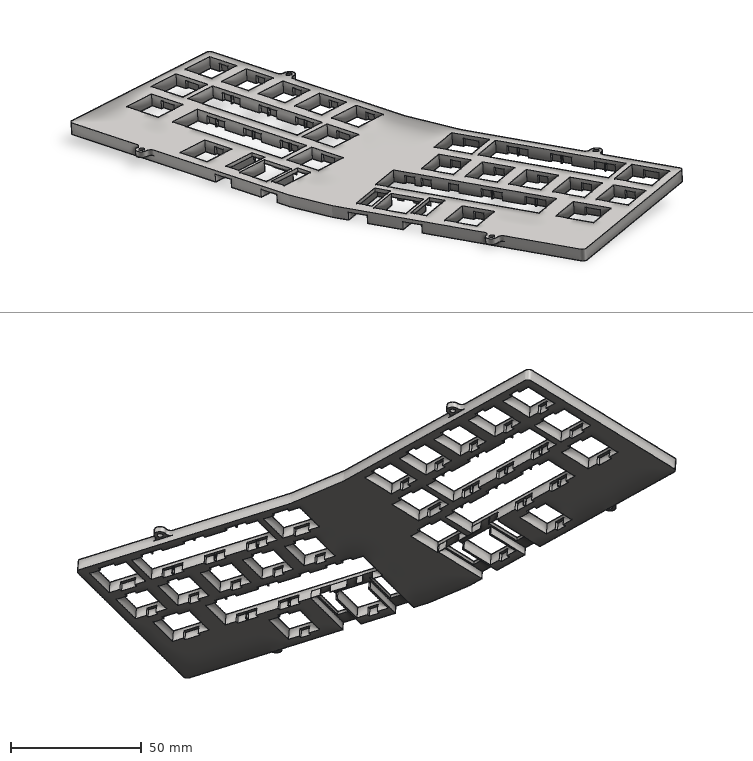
import cadquery as cq
import math

FIVE_KEY_SPAN = 76.2
KEY_PITCH = FIVE_KEY_SPAN / 4
SWITCH_SIZE = 14.0
LIP = 1.58
BODY_DEPTH = 3.5
THICKNESS = LIP + BODY_DEPTH
OVERALL_WIDTH = 242.6
SPLAY = 7.0
TILT = 7.0

COS = math.cos(math.radians(SPLAY))
SIN = math.sin(math.radians(SPLAY))

THUMB_KEY_U = 27.2
TOP_ROW_V = 21.0
ROW_V = [TOP_ROW_V - row * KEY_PITCH for row in range(4)]
THUMB_ROW = 3
LEFT = -1
RIGHT = 1

RIGHT_OPENINGS = [
    (0, [-0.25, -0.125]), (0, [0.75, 1, 1.75, 2, 2.75, 3]), (0, [3.875, 4]),
    (1, [0]), (1, [1]), (1, [2]), (1, [3]), (1, [4]),
    (2, [-0.5, -0.125, 0.5, 1.25, 1.5, 2.25, 2.5]), (2, [3.625, 3.75]),
    (3, [0]), (3, [1.625]),
]
LEFT_OPENINGS = [
    (0, [0.25]), (0, [1.25]), (0, [2.25]), (0, [3.25]), (0, [4.25]),
    (1, [0, 0.125]), (1, [1, 1.25, 2, 2.25, 3, 3.25]), (1, [4.125, 4.25]),
    (2, [-0.5, -0.375]), (2, [0.5, 0.75, 1.5, 1.75, 2.5, 2.75]), (2, [3.875, 4]),
    (3, [0]), (3, [1.625]),
]

RIGHT_LAST = max(max(positions) for row, positions in RIGHT_OPENINGS)
LEFT_LAST = max(max(positions) for row, positions in LEFT_OPENINGS)

NOTCH_WIDTH = 4.4
NOTCH_DEPTH = 1.2

SLOT_OFFSET = 12.0
SLOT_WIDTH = 6.8
SLOT_LENGTH = 14.8
SLOT_BACK = 9.0
RELIEF_WIDTH = 8.3
RELIEF_REACH = 3.0

CORNER_RADIUS = 1.7
BACK_MARGIN = 4.0
FRONT_MARGIN = 4.1
BACK_V = ROW_V[0] + SWITCH_SIZE / 2 + BACK_MARGIN
FRONT_V = ROW_V[THUMB_ROW] - SWITCH_SIZE / 2 - FRONT_MARGIN
RIGHT_KEYS_END = THUMB_KEY_U + RIGHT_LAST * KEY_PITCH + SWITCH_SIZE / 2
LEFT_KEYS_END = THUMB_KEY_U + LEFT_LAST * KEY_PITCH + SWITCH_SIZE / 2
CORNER_CENTRES = OVERALL_WIDTH - 2 * CORNER_RADIUS
BOTH_HALVES = (CORNER_CENTRES + 2 * (FRONT_V + CORNER_RADIUS) * SIN) / COS + 2 * CORNER_RADIUS
END_MARGIN = (BOTH_HALVES - RIGHT_KEYS_END - LEFT_KEYS_END) / 2
RIGHT_END = RIGHT_KEYS_END + END_MARGIN
LEFT_END = LEFT_KEYS_END + END_MARGIN
BACK_FLAT = 13.0
FRONT_FLAT = 10.0

LUG_U = {LEFT: 79.3, RIGHT: 75.0}
LUG_RADIUS = 2.5
LUG_REACH = 2.06
LUG_FLARE = 2.0
LUG_HEIGHT = 2.5
LUG_HOLE = 2.2
LUG_ROOT = 2.0


def box(u, v, width, length, bottom, top):
    return cq.Workplane("XY").box(width, length, top - bottom).translate((u, v, (top + bottom) / 2))


def splay(body, side):
    return body.rotate((0, 0, 0), (0, 0, 1), side * SPLAY)


def outer_corner(end, v, side):
    """Corner at distance end from the centre line, turned with its half."""
    return side * (end * COS - v * SIN), end * SIN + v * COS


def middle_corner(half_width, v, side):
    """Point on a long edge of one half at half_width from the centre line."""
    return side * half_width, v / COS + half_width * SIN / COS


def make_plate():
    points = [
        outer_corner(LEFT_END, BACK_V, LEFT),
        middle_corner(BACK_FLAT, BACK_V, LEFT),
        middle_corner(BACK_FLAT, BACK_V, RIGHT),
        outer_corner(RIGHT_END, BACK_V, RIGHT),
        outer_corner(RIGHT_END, FRONT_V, RIGHT),
        middle_corner(FRONT_FLAT, FRONT_V, RIGHT),
        middle_corner(FRONT_FLAT, FRONT_V, LEFT),
        outer_corner(LEFT_END, FRONT_V, LEFT),
    ]
    plate = cq.Workplane("XY").polyline(points).close().extrude(-THICKNESS)
    end_edges = plate.edges("|Z").filter(lambda edge: abs(edge.Center().x) > RIGHT_END / 2)
    return plate.newObject(end_edges.vals()).fillet(CORNER_RADIUS)


def switch_opening(side, row, positions):
    """Through opening for all its switch positions, with clip notches at each of them."""
    v = ROW_V[row]
    centres = [side * (THUMB_KEY_U + position * KEY_PITCH) for position in positions]
    first, last = min(centres), max(centres)
    cutter = box((first + last) / 2, v, SWITCH_SIZE + last - first, SWITCH_SIZE, -THICKNESS, 0)
    for centre in centres:
        notch = box(centre, v, NOTCH_WIDTH, SWITCH_SIZE + 2 * NOTCH_DEPTH, -THICKNESS, -LIP)
        cutter = cutter.union(notch)
    return cutter


def stabiliser(u, v):
    """Two slots, their relief channels open to the front, and the channel joining them."""
    slot_v = v + SLOT_BACK - SLOT_LENGTH / 2
    relief_back = v + SLOT_BACK + RELIEF_REACH
    relief_front = FRONT_V - FRONT_MARGIN
    key_back = v + SWITCH_SIZE / 2
    cutter = box(u, (key_back + relief_back) / 2, 2 * SLOT_OFFSET, relief_back - key_back, -THICKNESS, -LIP)
    for slot_u in (u - SLOT_OFFSET, u + SLOT_OFFSET):
        slot = box(slot_u, slot_v, SLOT_WIDTH, SLOT_LENGTH, -THICKNESS, 0)
        relief = box(
            slot_u, (relief_front + relief_back) / 2,
            RELIEF_WIDTH, relief_back - relief_front, -THICKNESS, -LIP,
        )
        cutter = cutter.union(slot).union(relief)
    return cutter


def make_lug(u, edge_v, outward):
    """Ring lug flush with the top face, flared into the plate edge."""
    root = LUG_RADIUS + LUG_FLARE
    bend = LUG_FLARE * (1 - math.sqrt(0.5))
    profile = (
        cq.Workplane("XY")
        .moveTo(-root, -LUG_ROOT)
        .lineTo(-root, 0)
        .threePointArc((-LUG_RADIUS - bend, bend), (-LUG_RADIUS, LUG_FLARE))
        .lineTo(-LUG_RADIUS, LUG_REACH)
        .threePointArc((0, LUG_REACH + LUG_RADIUS), (LUG_RADIUS, LUG_REACH))
        .lineTo(LUG_RADIUS, LUG_FLARE)
        .threePointArc((LUG_RADIUS + bend, bend), (root, 0))
        .lineTo(root, -LUG_ROOT)
        .close()
        .extrude(-LUG_HEIGHT)
    )
    hole = cq.Workplane("XY").center(0, LUG_REACH).circle(LUG_HOLE / 2).extrude(-LUG_HEIGHT)
    lug = profile.cut(hole)
    if outward < 0:
        lug = lug.mirror("XZ")
    return lug.translate((u, edge_v, 0))


result = make_plate()

for side, openings in ((LEFT, LEFT_OPENINGS), (RIGHT, RIGHT_OPENINGS)):
    for edge_v, outward in ((BACK_V, 1), (FRONT_V, -1)):
        result = result.union(splay(make_lug(side * LUG_U[side], edge_v, outward), side))
    for row, positions in openings:
        result = result.cut(splay(switch_opening(side, row, positions), side))
    result = result.cut(splay(stabiliser(side * THUMB_KEY_U, ROW_V[THUMB_ROW]), side))

result = result.rotate((0, 0, 0), (COS, SIN, 0), TILT)